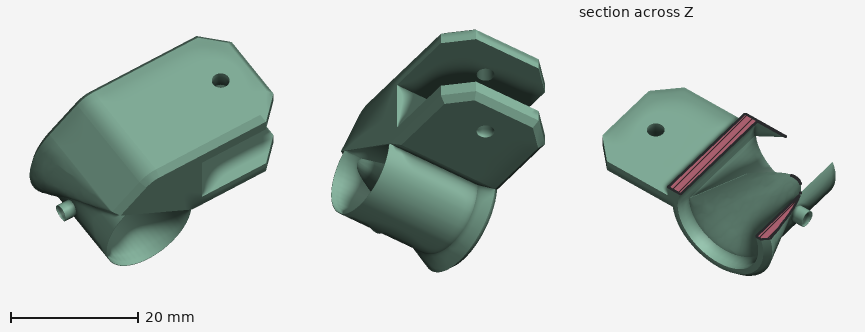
import cadquery as cq
import math

width = 20.0
socket_radius = 10.0
bore_radius = 8.0
edge_chamfer = 1.0
wall = 0.1
skin = 0.2

fork_end = 26.0
fork_top = 13.0
fork_bottom = -2.0
slot_end = 10.0
slot_top = 10.0
slot_bottom = 1.0
corner_chamfer = 4.0
screw_diameter = 2.8
screw_y = 20.0

bend_radius = 5.0
bend_y = 2.0
bend_z = fork_top - bend_radius

right = width / 2
left = -right

center_distance = math.hypot(bend_y, bend_z)
slope_normal = math.atan2(bend_z, bend_y) + math.acos((socket_radius - bend_radius) / center_distance)


def around(center_y, center_z, radius, angle):
    """Point of a circle in the YZ plane."""
    return (center_y + radius * math.cos(angle), center_z + radius * math.sin(angle))


slope_top = around(bend_y, bend_z, bend_radius, slope_normal)
slope_foot = around(0, 0, socket_radius, slope_normal)
bend_middle = around(bend_y, bend_z, bend_radius, (math.pi / 2 + slope_normal) / 2)
heel = (math.sqrt(socket_radius**2 - fork_bottom**2), fork_bottom)


def tube_along_x(radius, start, end):
    return cq.Workplane("YZ", origin=(start, 0, 0)).circle(radius).extrude(end - start)


def make_fork():
    """Solid arm with a chamfered outline, without its slot and screw hole."""
    fork = (
        cq.Workplane("YZ", origin=(left, 0, 0))
        .moveTo(fork_end, fork_top)
        .lineTo(bend_y, fork_top)
        .threePointArc(bend_middle, slope_top)
        .lineTo(*slope_foot)
        .lineTo(*heel)
        .lineTo(fork_end, fork_bottom)
        .close()
        .extrude(width)
    )
    fork = fork.faces(">Y").edges("|Z").chamfer(corner_chamfer)
    top_outline = fork.faces(">Z").edges("not(<Y)")
    bottom_outline = fork.faces("<Z").edges("not(<Y)")
    return fork.newObject(top_outline.vals() + bottom_outline.vals()).chamfer(edge_chamfer)


def circle_at(x, radius):
    return cq.Wire.makeCircle(radius, cq.Vector(x, 0, 0), cq.Vector(1, 0, 0))


def make_collar():
    """Chamfered rim that runs out in a slanted cone to the foot of the slope."""
    rim_x = left + edge_chamfer
    rim = cq.Solid.makeLoft([circle_at(left, socket_radius - edge_chamfer), circle_at(rim_x, socket_radius)], True)
    base = cq.Face.makeFromWires(circle_at(rim_x, socket_radius))
    apex = cq.Vertex.makeVertex(right - edge_chamfer, *slope_foot)
    cone = cq.occ_impl.shapes.loft(base, apex, ruled=True)
    return cq.Workplane(rim).union(cq.Workplane(cone))


def cut_fork_openings(body):
    slot = cq.Workplane("XY").box(
        width, fork_end - slot_end, slot_top - slot_bottom, centered=(True, False, False)
    ).translate((0, slot_end, slot_bottom))
    screw = (
        cq.Workplane("XY", origin=(0, screw_y, fork_bottom))
        .circle(screw_diameter / 2)
        .extrude(fork_top - fork_bottom)
    )
    return body.cut(slot).cut(screw)


def make_pin_tube():
    """Thin tube on the -Y side, ending on the collar's outer cylinder."""
    tube = (
        cq.Workplane("XZ")
        .circle(screw_diameter / 2)
        .circle(screw_diameter / 2 - wall)
        .extrude(socket_radius)
    )
    hollow = tube_along_x(bore_radius - wall, left, right)
    return tube.intersect(tube_along_x(socket_radius, left, right)).cut(hollow)


def make_sleeve():
    """Thin continuation of the bore wall, open at +X and into the pin tube."""
    sleeve = tube_along_x(bore_radius, left, right).cut(tube_along_x(bore_radius - wall, left, right))
    pin_bore = cq.Workplane("XZ").circle(screw_diameter / 2 - wall).extrude(socket_radius)
    return sleeve.cut(pin_bore)


outer = make_fork().union(make_collar())

bore = tube_along_x(bore_radius, left - skin, right).intersect(outer.translate((-skin, 0, 0)))

body = outer.union(make_sleeve()).union(make_pin_tube())
result = cut_fork_openings(body.cut(bore))